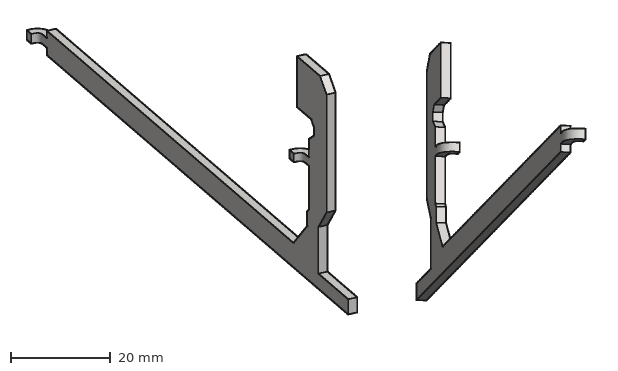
import cadquery as cq

length = 137.3
height = 47.9
thickness = 2.0
hook_depth = 4.0

bar_start_x = 5.1
bar_height = 5.5
foot_height = 3.5

neck_left_x = 120.0
neck_right_x = 124.2
head_left_x = 114.7
head_right_x = 127.8
head_bottom_z = 36.5
head_chamfer = 2.9
flare_bottom_z = 13.9
flare_top_z = 18.7

gusset_start_x = 113.2
gusset_right_x = 119.1
gusset_top_z = 11.8
step_top_z = 15.9
step_bottom_z = 15.1

notch_right_x = 122.2
notch_corner = 1.2
notch_slope_top_z = 33.4
notch_bottom_z = 31.7

bend_inner_radius = 1.1
bend_outer_radius = bend_inner_radius + thickness
hook_overlap = 0.7
end_hook_bottom_z = 1.6
end_hook_height = 2.2
neck_hook_left_x = 115.2
neck_hook_bottom_z = 25.7
neck_hook_height = 1.9


def make_sheet():
    outline = [
        (bar_start_x, 0),
        (length, 0),
        (length, foot_height),
        (neck_right_x, foot_height),
        (neck_right_x, flare_bottom_z),
        (head_right_x, flare_top_z),
        (head_right_x, height - head_chamfer),
        (head_right_x - head_chamfer, height),
        (head_left_x, height),
        (head_left_x, head_bottom_z),
        (notch_right_x - notch_corner, head_bottom_z),
        (notch_right_x, head_bottom_z - notch_corner),
        (notch_right_x, notch_slope_top_z),
        (neck_left_x, notch_bottom_z),
        (neck_left_x, step_top_z),
        (gusset_right_x, step_bottom_z),
        (gusset_right_x, gusset_top_z),
        (gusset_start_x, bar_height),
        (bar_start_x, bar_height),
    ]
    return cq.Workplane("XZ").polyline(outline).close().extrude(thickness)


def make_hook(left_x, root_x, bottom_z, hook_height):
    """Tab running left from root_x and bent through a right angle toward -Y."""
    bend_x = left_x + bend_outer_radius
    return (
        cq.Workplane("XY", origin=(0, 0, bottom_z))
        .moveTo(root_x + hook_overlap, 0)
        .lineTo(bend_x, 0)
        .radiusArc((left_x, -bend_outer_radius), -bend_outer_radius)
        .lineTo(left_x, -hook_depth)
        .lineTo(left_x + thickness, -hook_depth)
        .lineTo(left_x + thickness, -bend_outer_radius)
        .radiusArc((bend_x, -thickness), bend_inner_radius)
        .lineTo(root_x + hook_overlap, -thickness)
        .close()
        .extrude(hook_height)
    )


end_hook = make_hook(0, bar_start_x, end_hook_bottom_z, end_hook_height)
neck_hook = make_hook(neck_hook_left_x, neck_left_x, neck_hook_bottom_z, neck_hook_height)

result = make_sheet().union(end_hook).union(neck_hook)